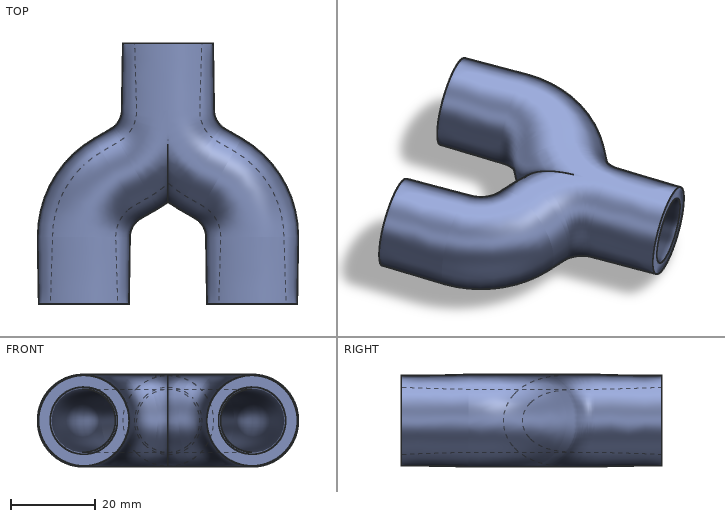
import cadquery as cq
import math

overall_width = 62.0
overall_length = 62.0

root_diameter = 22.0
mouth_diameter = 21.5
bore_root_diameter = 15.0
bore_mouth_diameter = 16.0

bend_radius = 16.0
bend_angle = math.radians(60)


def bend_point(angle):
    """Sideways shift and advance after turning through an angle from the Y direction."""
    return bend_radius * (1 - math.cos(angle)), bend_radius * math.sin(angle)


branch_offset = (overall_width - root_diameter) / 2
bend_shift, bend_rise = bend_point(bend_angle)
run_length = (branch_offset - 2 * bend_shift) / math.sin(bend_angle)
branch_span = 2 * bend_rise + run_length * math.cos(bend_angle)
socket_length = (overall_length - branch_span) / 2
mouth_y = overall_length / 2
root_y = mouth_y - socket_length


def branch(side, diameter):
    """S-shaped rod from the root of the single socket to the root of one paired socket."""
    mid_shift, mid_rise = bend_point(bend_angle / 2)
    path = (
        cq.Workplane("XY")
        .moveTo(0, root_y)
        .threePointArc((side * mid_shift, root_y - mid_rise), (side * bend_shift, root_y - bend_rise))
        .lineTo(side * (branch_offset - bend_shift), bend_rise - root_y)
        .threePointArc(
            (side * (branch_offset - mid_shift), mid_rise - root_y),
            (side * branch_offset, -root_y),
        )
    )
    section = cq.Workplane("XZ", origin=(0, root_y, 0)).circle(diameter / 2)
    return section.sweep(path)


def socket(x, direction, root_size, mouth_size):
    """Tapered rod along Y from a socket root out to its mouth."""
    profile = [
        (x, direction * root_y),
        (x + root_size / 2, direction * root_y),
        (x + mouth_size / 2, direction * mouth_y),
        (x, direction * mouth_y),
    ]
    return cq.Workplane("XY").polyline(profile).close().revolve(360, (x, 0), (x, 1))


def fitting_volume(root_size, mouth_size):
    """Solid Y made of the single socket, two branches and two paired sockets."""
    volume = socket(0, 1, root_size, mouth_size)
    for side in (-1, 1):
        arm = branch(side, root_size).union(socket(side * branch_offset, -1, root_size, mouth_size))
        volume = volume.union(arm)
    return volume


outer_wall = fitting_volume(root_diameter, mouth_diameter)
bore = fitting_volume(bore_root_diameter, bore_mouth_diameter)
result = outer_wall.cut(bore)